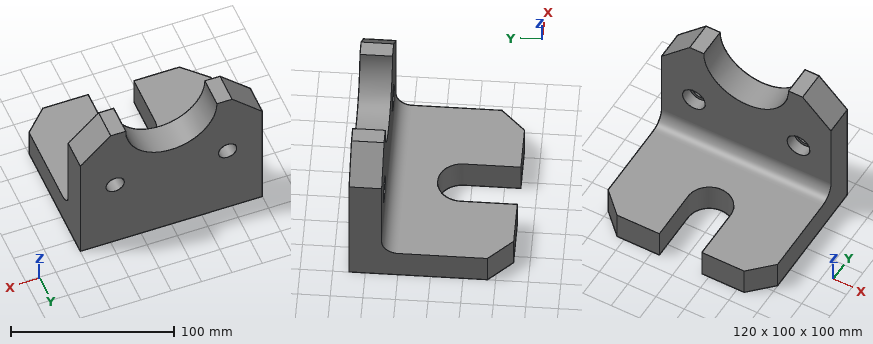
import cadquery as cq

width = 120.0
depth = 100.0
height = 100.0
thickness = 20.0
inner_fillet = thickness / 2

wall_chamfer = 20.0
cradle_radius = 30.0

hole_diameter = 12.0
counterbore_diameter = 16.0
counterbore_depth = 8.0
hole_spacing = 74.0
hole_height = 52.8

base_chamfer = 15.0
slot_width = 30.0
slot_length = depth / 2

front = -depth / 2
back = depth / 2
wall_front = back - thickness


def angle_body():
    """L-shaped body with a rounded inner corner."""
    profile = (
        cq.Workplane("YZ", origin=(-width / 2, 0, 0))
        .moveTo(front, 0)
        .lineTo(back, 0)
        .lineTo(back, height)
        .lineTo(wall_front, height)
        .lineTo(wall_front, thickness + inner_fillet)
        .radiusArc((wall_front - inner_fillet, thickness), inner_fillet)
        .lineTo(front, thickness)
        .close()
    )
    return profile.extrude(width)


def cylinder_along_y(x, y, z, diameter, length):
    """Round cutter running from y toward +Y."""
    plane = cq.Plane(origin=(x, y, z), xDir=(1, 0, 0), normal=(0, 1, 0))
    return cq.Workplane(plane).circle(diameter / 2).extrude(length)


def base_slot():
    """Slot open at the base tip with a round inner end."""
    straight_length = slot_length - slot_width / 2
    end_y = front + straight_length
    slot = cq.Workplane("XY").center(0, front + straight_length / 2).rect(slot_width, straight_length)
    slot = slot.extrude(thickness)
    round_end = cq.Workplane("XY").center(0, end_y).circle(slot_width / 2).extrude(thickness)
    return slot.union(round_end)


body = angle_body()

body = body.edges("|Y and >Z").chamfer(wall_chamfer)
body = body.edges("|Z and <Y").chamfer(base_chamfer)

body = body.cut(cylinder_along_y(0, wall_front, height, 2 * cradle_radius, thickness))

for side in (-1, 1):
    hole_x = side * hole_spacing / 2
    body = body.cut(cylinder_along_y(hole_x, wall_front, hole_height, hole_diameter, thickness))
    body = body.cut(
        cylinder_along_y(hole_x, wall_front, hole_height, counterbore_diameter, counterbore_depth)
    )

result = body.cut(base_slot())